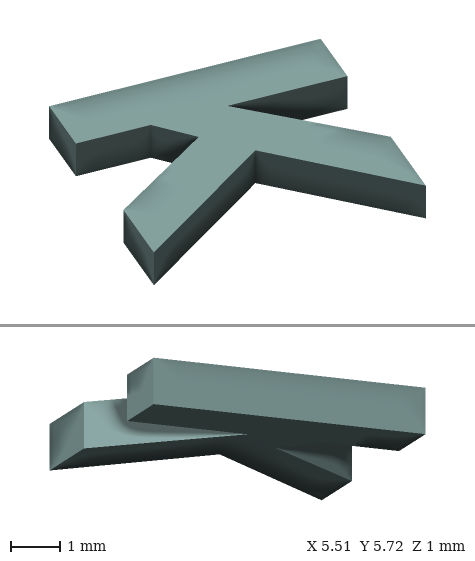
import cadquery as cq

height = 5.72
width = 5.51
thickness = 1.0

stem_width = 1.15
stem_lean = 0.99

arm_root_y = 3.19
leg_root_y = 1.58

arm_top_left_x = 4.005
elbow = (3.03, 3.125)
leg_foot_left_x = 3.19
leg_foot_right_x = 4.5
crotch = (2.17, 2.28)


def stem_right_side(y):
    """Point on the right side of the stem at height y."""
    return (stem_width + stem_lean * y / height, y)


outline = [
    (0, 0),
    (stem_lean, height),
    stem_right_side(height),
    stem_right_side(arm_root_y),
    (arm_top_left_x, height),
    (width, height),
    elbow,
    (leg_foot_right_x, 0),
    (leg_foot_left_x, 0),
    crotch,
    stem_right_side(leg_root_y),
    stem_right_side(0),
]

result = cq.Workplane("XY").polyline(outline).close().extrude(thickness)